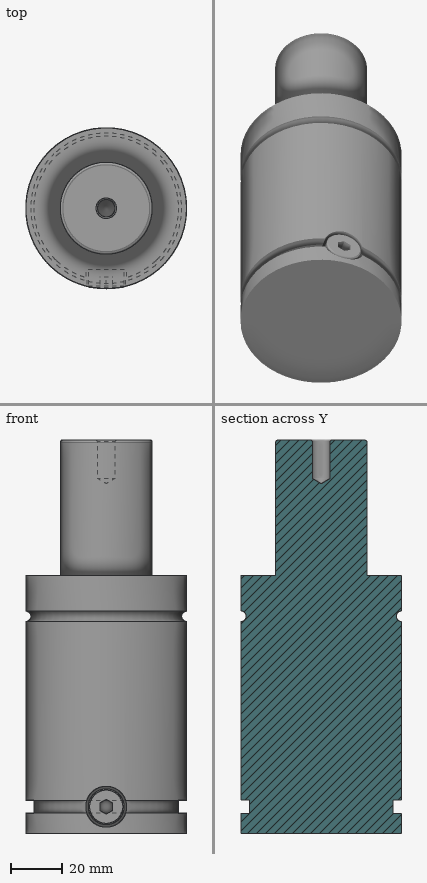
import cadquery as cq
import math

BODY_DIAMETER = 63.0
BODY_HEIGHT = 101.0
BODY_RADIUS = BODY_DIAMETER / 2

TOTAL_HEIGHT = 154.0
ROD_DIAMETER = 36.0
ROD_FILLET = 1.0

ROD_HOLE_DIAMETER = 6.8
ROD_HOLE_DEPTH = 15.0
ROD_HOLE_MOUTH_DIAMETER = 8.0
DRILL_POINT_ANGLE = 118.0

UPPER_GROOVE_RADIUS = 2.0
UPPER_GROOVE_DROP = 16.0
UPPER_GROOVE_Z = BODY_HEIGHT - UPPER_GROOVE_DROP

LOWER_GROOVE_BOTTOM = 8.0
LOWER_GROOVE_WIDTH = 5.0
LOWER_GROOVE_DIAMETER = 56.6

POCKET_DIAMETER = 16.0
POCKET_FLOOR_DISTANCE = 24.0
PLUG_DIAMETER = 14.0
PLUG_CHAMFER = 0.5
PLUG_FACE_DISTANCE = 31.0
PLUG_Z = LOWER_GROOVE_BOTTOM + LOWER_GROOVE_WIDTH / 2
HEX_ACROSS_FLATS = 5.0
HEX_DEPTH = 4.0
HEX_HALF_ANGLE = 30.0


def front_plane(distance):
    """Plane facing -Y at the plug height, the given distance from the main axis."""
    return cq.Workplane("XZ", origin=(0, -distance, PLUG_Z))


def make_body():
    """Cylinder body with the piston rod, rounded at its end, rising from it."""
    body = cq.Workplane("XY").circle(BODY_RADIUS).extrude(BODY_HEIGHT)
    rod = cq.Workplane("XY").circle(ROD_DIAMETER / 2).extrude(TOTAL_HEIGHT)
    rod = rod.faces(">Z").edges().fillet(ROD_FILLET)
    return body.union(rod)


def make_upper_groove():
    """Ring of round section centred on the body skin."""
    return (
        cq.Workplane("XZ")
        .center(BODY_RADIUS, UPPER_GROOVE_Z)
        .circle(UPPER_GROOVE_RADIUS)
        .revolve(360, (-BODY_RADIUS, 0), (-BODY_RADIUS, 1))
    )


def make_lower_groove():
    """Flat ring reaching from the groove floor to beyond the body skin."""
    return (
        cq.Workplane("XY", origin=(0, 0, LOWER_GROOVE_BOTTOM))
        .circle(BODY_DIAMETER)
        .circle(LOWER_GROOVE_DIAMETER / 2)
        .extrude(LOWER_GROOVE_WIDTH)
    )


def make_rod_hole():
    """Drilled hole with a conical bottom and a countersunk mouth."""
    hole_radius = ROD_HOLE_DIAMETER / 2
    mouth_radius = ROD_HOLE_MOUTH_DIAMETER / 2
    mouth_depth = mouth_radius - hole_radius
    floor_z = TOTAL_HEIGHT - ROD_HOLE_DEPTH
    point_depth = hole_radius / math.tan(math.radians(DRILL_POINT_ANGLE / 2))
    return (
        cq.Workplane("XZ")
        .moveTo(0, TOTAL_HEIGHT)
        .lineTo(mouth_radius, TOTAL_HEIGHT)
        .lineTo(hole_radius, TOTAL_HEIGHT - mouth_depth)
        .lineTo(hole_radius, floor_z)
        .lineTo(0, floor_z - point_depth)
        .close()
        .revolve(360, (0, 0), (0, 1))
    )


def radial_cylinder(diameter, start, end):
    """Cylinder along -Y at the plug height, between two distances from the main axis."""
    return front_plane(start).circle(diameter / 2).extrude(end - start)


def make_pocket():
    """Flat-bottomed round pocket, wider than the plug, open at the body skin."""
    return radial_cylinder(POCKET_DIAMETER, POCKET_FLOOR_DISTANCE, BODY_RADIUS)


def make_plug():
    """Round plug rising from the pocket floor, with a chamfered face."""
    plug = radial_cylinder(PLUG_DIAMETER, POCKET_FLOOR_DISTANCE, PLUG_FACE_DISTANCE)
    return plug.faces("<Y").chamfer(PLUG_CHAMFER)


def make_hex_socket():
    """Hexagon socket in the plug face, with two of its corners pointing along Z."""
    hex_across_corners = HEX_ACROSS_FLATS / math.cos(math.radians(HEX_HALF_ANGLE))
    return (
        front_plane(PLUG_FACE_DISTANCE - HEX_DEPTH)
        .transformed(rotate=(0, 0, HEX_HALF_ANGLE))
        .polygon(6, hex_across_corners)
        .extrude(HEX_DEPTH)
    )


result = (
    make_body()
    .cut(make_upper_groove())
    .cut(make_lower_groove())
    .cut(make_rod_hole())
    .cut(make_pocket())
    .union(make_plug())
    .cut(make_hex_socket())
)